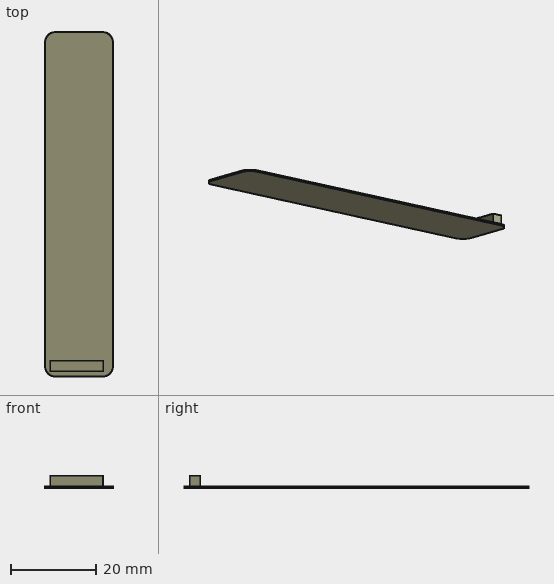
import cadquery as cq

plate_width = 16.0
plate_length = 81.0
plate_thickness = 0.4
corner_radius = 2.5

total_height = 2.9
bar_width = 12.5
bar_depth = 2.5
bar_height = total_height - plate_thickness
bar_side_gap = 1.2
bar_end_gap = 1.3


def make_plate():
    """Thin strip with rounded corners, its lower left corner at the origin."""
    return (
        cq.Workplane("XY")
        .box(plate_width, plate_length, plate_thickness, centered=False)
        .edges("|Z")
        .fillet(corner_radius)
    )


def make_bar():
    """Rectangular bar resting on the plate's upper face."""
    return (
        cq.Workplane("XY")
        .box(bar_width, bar_depth, bar_height, centered=False)
        .translate((bar_side_gap, bar_end_gap, plate_thickness))
    )


plate = make_plate()
bar = make_bar()

result = cq.Compound.makeCompound([plate.val(), bar.val()])